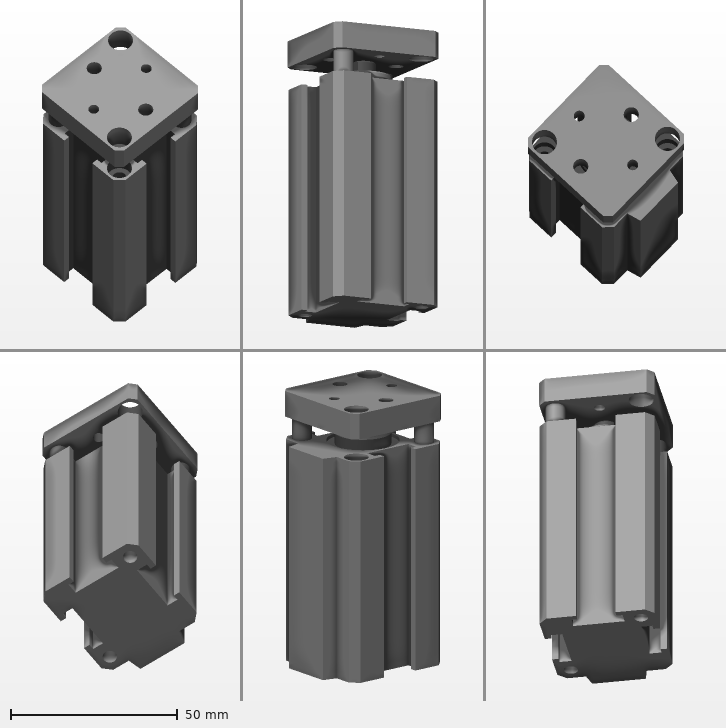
import cadquery as cq

body_side = 35.0
total_depth = 39.5
total_height = 84.0
half_side = body_side / 2

plate_thickness = 8.0
plate_gap = 7.0
plate_corner_chamfer = 2.0
plate_bottom = total_height - plate_thickness
housing_height = plate_bottom - plate_gap

plate_hole_offset = 11.0
large_plate_hole_diameter = 4.5
small_plate_hole_diameter = 3.3

housing_corner_chamfer = 2.5
slot_opening = 12.0
slot_lip_thickness = 2.0
slot_undercut = 1.85
slot_depth = 5.6
rail_base_width = 18.5
rail_top_width = 16.3
rail_height = total_depth - body_side

recess_diameter = 22.0
recess_depth = 1.0
boss_diameter = 17.0
boss_height = 3.0
boss_chamfer = 0.5

corner_offset = 13.0
guide_rod_diameter = 6.0
screw_hole_diameter = 4.3
screw_head_diameter = 7.5
screw_head_depth = 4.8
guide_rod_points = [(-corner_offset, -corner_offset), (corner_offset, corner_offset)]
screw_points = [(-corner_offset, corner_offset), (corner_offset, -corner_offset)]

piston_rod_diameter = 8.0
piston_rod_insertion = 10.1
piston_rod_end_chamfer = 0.5
wrench_flat_width = 6.0
wrench_flat_clearance = 1.0
boss_top = housing_height + boss_height
piston_rod_bottom = housing_height - piston_rod_insertion


def cylinders(points, diameter, bottom, top):
    """Upright cylinders at the given points between two heights."""
    return (
        cq.Workplane("XY", origin=(0, 0, bottom))
        .pushPoints(points)
        .circle(diameter / 2)
        .extrude(top - bottom)
    )


def chamfered_block(bottom, top, corner_chamfer):
    """Square block with its four upright edges chamfered."""
    return (
        cq.Workplane("XY", origin=(0, 0, bottom))
        .rect(body_side, body_side)
        .extrude(top - bottom)
        .edges("|Z")
        .chamfer(corner_chamfer)
    )


def t_slot():
    """Full-height T-slot cutter for the -Y face."""
    half_opening = slot_opening / 2
    half_channel = half_opening + slot_undercut
    lip_back = -half_side + slot_lip_thickness
    floor = -half_side + slot_depth
    return (
        cq.Workplane("XY")
        .moveTo(-half_opening, -half_side)
        .lineTo(-half_opening, lip_back)
        .lineTo(-half_channel, lip_back)
        .lineTo(-half_channel, floor)
        .lineTo(half_channel, floor)
        .lineTo(half_channel, lip_back)
        .lineTo(half_opening, lip_back)
        .lineTo(half_opening, -half_side)
        .close()
        .extrude(housing_height)
    )


def sensor_rail():
    """Tapered rail along the whole +Y face."""
    return (
        cq.Workplane("XY")
        .moveTo(-rail_base_width / 2, half_side)
        .lineTo(-rail_top_width / 2, half_side + rail_height)
        .lineTo(rail_top_width / 2, half_side + rail_height)
        .lineTo(rail_base_width / 2, half_side)
        .close()
        .extrude(housing_height)
    )


def cover_boss():
    """Chamfered round boss rising from the floor of the cover recess."""
    boss = cylinders([(0, 0)], boss_diameter, housing_height - recess_depth, boss_top)
    return boss.faces(">Z").edges().chamfer(boss_chamfer)


def piston_rod():
    """Piston rod with a chamfered end and two wrench flats facing -X and +X."""
    rod = cylinders([(0, 0)], piston_rod_diameter, piston_rod_bottom, plate_bottom)
    rod = rod.faces(">Z").edges().chamfer(piston_rod_end_chamfer)
    flat_bottom = boss_top + wrench_flat_clearance
    flat_length = plate_bottom - flat_bottom
    for side in (-1, 1):
        cutter_center = side * (wrench_flat_width + piston_rod_diameter) / 2
        flat_cutter = (
            cq.Workplane("XY", origin=(cutter_center, 0, flat_bottom))
            .rect(piston_rod_diameter, 2 * piston_rod_diameter)
            .extrude(flat_length)
        )
        rod = rod.cut(flat_cutter)
    return rod


def build_housing():
    """Extruded housing with its cover boss, rod bores and mounting holes."""
    housing = chamfered_block(0, housing_height, housing_corner_chamfer).union(sensor_rail())
    for angle in (-90, 0, 90):
        housing = housing.cut(t_slot().rotate((0, 0, 0), (0, 0, 1), angle))
    recess_floor = housing_height - recess_depth
    housing = housing.cut(cylinders([(0, 0)], recess_diameter, recess_floor, housing_height))
    housing = housing.union(cover_boss())
    housing = housing.cut(cylinders(guide_rod_points, guide_rod_diameter, 0, housing_height))
    housing = housing.cut(cylinders([(0, 0)], piston_rod_diameter, piston_rod_bottom, boss_top))
    housing = housing.cut(cylinders(screw_points, screw_hole_diameter, 0, housing_height))
    screw_seat = housing_height - screw_head_depth
    return housing.cut(cylinders(screw_points, screw_head_diameter, screw_seat, housing_height))


def build_slide():
    """Tooling plate carrying the piston rod and the two guide rods."""
    plate = chamfered_block(plate_bottom, total_height, plate_corner_chamfer)
    plate_holes = [
        (screw_points, screw_head_diameter),
        ([(-plate_hole_offset, 0), (plate_hole_offset, 0)], large_plate_hole_diameter),
        ([(0, -plate_hole_offset), (0, plate_hole_offset)], small_plate_hole_diameter),
    ]
    for points, diameter in plate_holes:
        plate = plate.cut(cylinders(points, diameter, plate_bottom, total_height))
    guide_rods = cylinders(guide_rod_points, guide_rod_diameter, 0, plate_bottom)
    return plate.union(guide_rods).union(piston_rod())


housing = build_housing()
slide = build_slide()
result = cq.Compound.makeCompound([housing.solids().val(), slide.solids().val()])